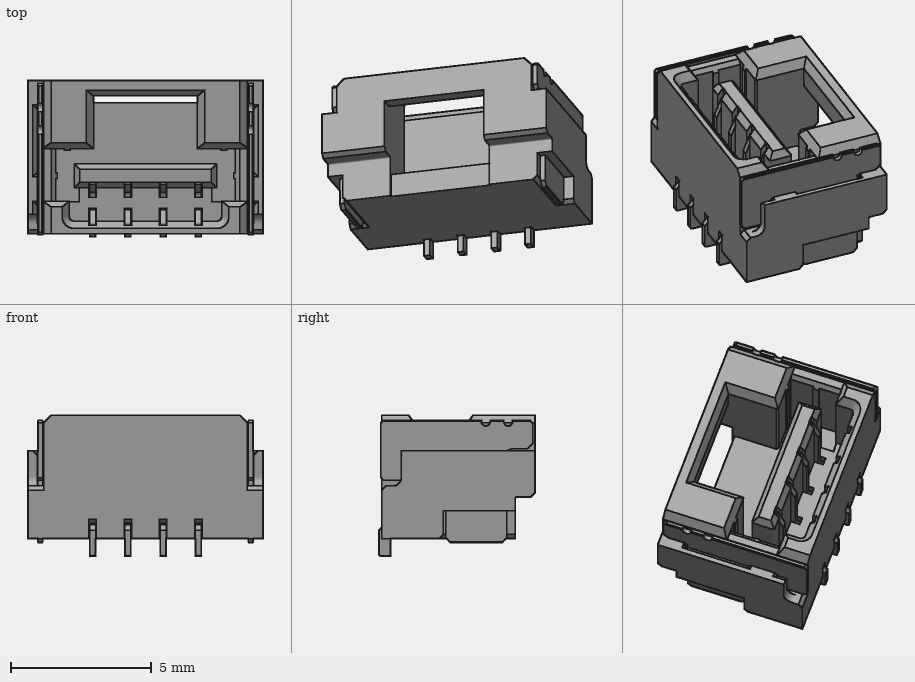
import cadquery as cq
import math

WIDTH = 8.35
DEPTH = 5.45
HEIGHT = 4.38
WING_TOP = 3.12
BLOCK_HALF = 3.62
TOP_BEVEL = 0.27

STEP_Y = 4.75
STEP_Z = 1.48
STEP_BEVEL = 0.15
STEP_FILLET = 0.05

LEAD_IN = 0.3
LEAD_Y = 0.21
LEAD_X = 0.26
RIM_Z = HEIGHT - LEAD_IN
CAVITY_HALF = 3.19
CAVITY_FRONT = 1.17
CAVITY_BACK = 3.03
WALL_BEVEL = 0.15
FLOOR_Z = 0.835
POCKET_HALF = 2.705
POCKET_FRONT = 0.46
POCKET_RADIUS = 0.16
WINDOW_HALF = 1.845
WINDOW_BACK = 4.9
WINDOW_BEVEL = 0.07
FLOOR_BACK = 4.67
BRIDGE_BOTTOM = 3.35
PLATFORM_RISE = 0.17
PLATFORM_HALF = 2.355
PLATFORM_EDGE = 1.135

RIB_WIDTH = 0.22
RIB_HEIGHT = 0.06
BACK_RIB_X = 2.78
SIDE_RIB_Y = 2.06

TONGUE_TOP = 3.98
TONGUE_HALF = 2.53
TONGUE_FRONT = 1.64
TONGUE_BACK = 2.49
TONGUE_ROUND = 0.05
TONGUE_BEVEL = 0.19
TONGUE_BEVEL_Z = 0.25

CONTACT_COUNT = 4
CONTACT_PITCH = 1.25
CONTACT_WIDTH = 0.22
GROOVE_WIDTH = 0.27
LEAD_BOTTOM = -0.62
LEAD_FRONT = -0.1
LEAD_BACK = 0.32
LEAD_ROUND = 0.075
LEAD_SHOULDER = 0.29
LEAD_ELBOW_Y = 0.1
EXIT_TOP = 0.685
EXIT_INNER = 0.55
GROOVE_BOTTOM = 0.67
FRONT_SLOT = (0.31, 0.91)
GROOVE = (1.3, 1.845)
RAMP_GAP = 0.06
RAMP_CREST = 0.13
BEAM_TOP = 3.56
BEAM_TIP_Y = 1.77
BEAM_TIP_Z = 3.62
BEAM_FRONT = 1.49
BEAM_KNEE_Z = 2.96
BEAM_FOOT_RADIUS = 0.15

PLATE_INNER = 3.65
PLATE_OUTER = 3.825
SLOT_OUTER = 3.85
SLOT_BACK = 4.61
SLOT_FLOOR = 1.87
SLOT_BEVEL = 0.15
MOUTH_RANGES = ((0.5, 1.17), (2.03, 4.59))
NOTCH_BACK = 0.7
NOTCH_RADIUS = 0.32
NOTCH_BEVEL = 0.15
PLATE_TOP = 4.21
PLATE_FRONT = -0.03
PLATE_BACK = 5.36
PLATE_BOTTOM = 2.07
PLATE_BEVEL = 0.1
PLATE_EDGE = 0.03
TAIL_BOTTOM = 3.19
TAIL_BEVEL = 0.18
TAB_FRONT = 2.27
TAB_BACK = 4.45
TAB_BOTTOM = -0.15
TAB_BEVEL = 0.18
RELIEF_FRONT = 2.2
RELIEF_TOP = 0.99
RELIEF_BEVEL = 0.15
DIMPLE_YS = (3.7, 4.49)
DIMPLE_RADIUS = 0.15
DIMPLE_BOTTOM = 4.0

MARGIN = 0.42


def box(x_range, y_range, z_range):
    size = [high - low for low, high in (x_range, y_range, z_range)]
    corner = (x_range[0], y_range[0], z_range[0])
    return cq.Workplane("XY").box(*size, centered=False).translate(corner)


def frustum(low_x, low_y, low_z, top_x, top_y, top_z):
    """Solid with flat sides between a rectangle at low_z and another at top_z."""

    def rectangle(x_range, y_range, z):
        (x0, x1), (y0, y1) = x_range, y_range
        corners = [cq.Vector(x, y, z) for x, y in ((x0, y0), (x1, y0), (x1, y1), (x0, y1))]
        return cq.Wire.makePolygon(corners, close=True)

    ends = [rectangle(low_x, low_y, low_z), rectangle(top_x, top_y, top_z)]
    return cq.Workplane(cq.Solid.makeLoft(ends, True))


def side_sketch(x_start):
    """Workplane whose local axes are the part's Y and Z, extruding toward +X."""
    return cq.Workplane("YZ", origin=(x_start, 0, 0))


def both_sides(shape):
    return shape.union(shape.mirror("YZ"))


def make_shell():
    front_outline = [
        (-WIDTH / 2, 0), (WIDTH / 2, 0), (WIDTH / 2, WING_TOP), (BLOCK_HALF, WING_TOP),
        (BLOCK_HALF, HEIGHT - TOP_BEVEL), (BLOCK_HALF - TOP_BEVEL, HEIGHT),
        (TOP_BEVEL - BLOCK_HALF, HEIGHT), (-BLOCK_HALF, HEIGHT - TOP_BEVEL),
        (-BLOCK_HALF, WING_TOP), (-WIDTH / 2, WING_TOP),
    ]
    shell = cq.Workplane("XZ").polyline(front_outline).close().extrude(-DEPTH)
    step = (
        side_sketch(-WIDTH / 2)
        .moveTo(STEP_Y, -MARGIN)
        .lineTo(STEP_Y, STEP_Z - STEP_FILLET)
        .radiusArc((STEP_Y + STEP_FILLET, STEP_Z), STEP_FILLET)
        .lineTo(DEPTH - STEP_BEVEL, STEP_Z)
        .lineTo(DEPTH + MARGIN, STEP_Z + STEP_BEVEL + MARGIN)
        .lineTo(DEPTH + MARGIN, -MARGIN)
        .close()
        .extrude(WIDTH)
    )
    return shell.cut(step)


def pocket_wire(half, front, radius, z):
    """Pocket outline at height z, rounded at its two front corners."""
    mid = radius * (1 - math.sqrt(0.5))
    return (
        cq.Workplane("XY", origin=(0, 0, z))
        .moveTo(-half, CAVITY_BACK)
        .lineTo(-half, front + radius)
        .threePointArc((mid - half, front + mid), (radius - half, front))
        .lineTo(half - radius, front)
        .threePointArc((half - mid, front + mid), (half, front + radius))
        .lineTo(half, CAVITY_BACK)
        .close()
        .val()
    )


def cut_cavity(body):
    main = box((-CAVITY_HALF, CAVITY_HALF), (CAVITY_FRONT, CAVITY_BACK), (FLOOR_Z, HEIGHT))
    wall_top = CAVITY_HALF + WALL_BEVEL
    wall_mouth = frustum(
        (-CAVITY_HALF, CAVITY_HALF), (CAVITY_FRONT, CAVITY_BACK), RIM_Z - WALL_BEVEL,
        (-wall_top, wall_top), (CAVITY_FRONT, CAVITY_BACK), RIM_Z,
    )
    gap = frustum(
        (-WIDTH / 2, WIDTH / 2), (CAVITY_FRONT, CAVITY_BACK), RIM_Z,
        (-WIDTH / 2, WIDTH / 2), (CAVITY_FRONT - LEAD_Y, CAVITY_BACK + LEAD_Y), HEIGHT,
    )
    low_pocket = pocket_wire(POCKET_HALF, POCKET_FRONT, POCKET_RADIUS, RIM_Z)
    top_pocket = pocket_wire(
        POCKET_HALF + LEAD_X, POCKET_FRONT - LEAD_X, POCKET_RADIUS + LEAD_X, HEIGHT
    )
    pocket_mouth = cq.Workplane(cq.Solid.makeLoft([low_pocket, top_pocket], True))
    floor_wire = pocket_wire(POCKET_HALF, POCKET_FRONT, POCKET_RADIUS, FLOOR_Z)
    pocket = cq.Workplane(floor_wire).toPending().extrude(RIM_Z - FLOOR_Z)

    window_x = (-WINDOW_HALF, WINDOW_HALF)
    window_top_x = (-WINDOW_HALF - LEAD_X, WINDOW_HALF + LEAD_X)
    window = box(window_x, (CAVITY_BACK, WINDOW_BACK), (FLOOR_Z, RIM_Z))
    window_mouth = frustum(
        window_x, (CAVITY_BACK, WINDOW_BACK), RIM_Z,
        window_top_x, (CAVITY_BACK, WINDOW_BACK + LEAD_Y), HEIGHT,
    )
    post_edge = [
        (WINDOW_HALF, CAVITY_BACK), (WINDOW_HALF + WINDOW_BEVEL, CAVITY_BACK),
        (WINDOW_HALF, CAVITY_BACK + WINDOW_BEVEL),
    ]
    post_bevel = cq.Workplane("XY", origin=(0, 0, FLOOR_Z)).polyline(post_edge).close()
    post_bevels = both_sides(post_bevel.extrude(RIM_Z - FLOOR_Z))
    rear_opening = box(window_x, (FLOOR_BACK, DEPTH + MARGIN), (-MARGIN, BRIDGE_BOTTOM))
    walls = (main, pocket, window, post_bevels, rear_opening)
    mouths = (wall_mouth, gap, pocket_mouth, window_mouth)
    for cutter in walls + mouths:
        body = body.cut(cutter)
    return body


def make_platform():
    top = FLOOR_Z + PLATFORM_RISE
    front = box((-POCKET_HALF, POCKET_HALF), (POCKET_FRONT, PLATFORM_EDGE), (0, top))
    rear = box((-PLATFORM_HALF, PLATFORM_HALF), (PLATFORM_EDGE, TONGUE_FRONT), (0, top))
    return front.union(rear)


def make_tongue():
    x_range = (-TONGUE_HALF, TONGUE_HALF)
    y_range = (TONGUE_FRONT, TONGUE_BACK)
    shoulder = TONGUE_TOP - TONGUE_BEVEL_Z
    post = box(x_range, y_range, (0, shoulder))
    crown = frustum(
        x_range, y_range, shoulder,
        (TONGUE_BEVEL - TONGUE_HALF, TONGUE_HALF - TONGUE_BEVEL),
        (TONGUE_FRONT + TONGUE_BEVEL, TONGUE_BACK - TONGUE_BEVEL), TONGUE_TOP,
    )
    height = (0, TONGUE_TOP)
    rounded = box(x_range, y_range, height).edges("|Z").fillet(TONGUE_ROUND)
    return post.union(crown).intersect(rounded)


def make_ribs():
    """Ribs whose tops slope in line with the bevels above them."""
    back_drop = RIB_HEIGHT * LEAD_IN / LEAD_Y
    back_outline = [
        (CAVITY_BACK, FLOOR_Z), (CAVITY_BACK - RIB_HEIGHT, FLOOR_Z),
        (CAVITY_BACK - RIB_HEIGHT, RIM_Z - back_drop), (CAVITY_BACK, RIM_Z),
    ]
    back_plane = side_sketch(BACK_RIB_X - RIB_WIDTH / 2)
    back_rib = back_plane.polyline(back_outline).close().extrude(RIB_WIDTH)
    side_top = RIM_Z - WALL_BEVEL
    side_outline = [
        (CAVITY_HALF, FLOOR_Z), (CAVITY_HALF - RIB_HEIGHT, FLOOR_Z),
        (CAVITY_HALF - RIB_HEIGHT, side_top - RIB_HEIGHT), (CAVITY_HALF, side_top),
    ]
    side_plane = cq.Workplane("XZ", origin=(0, SIDE_RIB_Y - RIB_WIDTH / 2, 0))
    side_rib = side_plane.polyline(side_outline).close().extrude(-RIB_WIDTH)
    return both_sides(back_rib.union(side_rib))


def make_contact_slots(x):
    """Opening in the front face, slot behind the front wall and groove in the tongue."""
    x_range = (x - GROOVE_WIDTH / 2, x + GROOVE_WIDTH / 2)
    exit_outline = [
        (-MARGIN, -MARGIN), (-MARGIN, EXIT_TOP), (0, EXIT_TOP),
        (LEAD_BACK, EXIT_INNER), (LEAD_BACK, -MARGIN),
    ]
    exit_slot = side_sketch(x_range[0]).polyline(exit_outline).close().extrude(GROOVE_WIDTH)
    slot = box(x_range, FRONT_SLOT, (GROOVE_BOTTOM, HEIGHT))
    groove = box(x_range, GROOVE, (GROOVE_BOTTOM, HEIGHT))
    return exit_slot.union(slot).union(groove)


def make_contact(x):
    """Solder lead, ramp behind the front wall and sloping beam against the tongue."""
    plane = side_sketch(x - CONTACT_WIDTH / 2)
    lead = (
        plane.moveTo(LEAD_BACK, LEAD_BOTTOM)
        .lineTo(LEAD_FRONT + LEAD_ROUND, LEAD_BOTTOM)
        .radiusArc((LEAD_FRONT, LEAD_BOTTOM + LEAD_ROUND), LEAD_ROUND)
        .lineTo(LEAD_FRONT, LEAD_SHOULDER)
        .lineTo(LEAD_ELBOW_Y, LEAD_SHOULDER + LEAD_ELBOW_Y - LEAD_FRONT)
        .lineTo(LEAD_BACK, EXIT_INNER)
        .close()
        .extrude(CONTACT_WIDTH)
    )
    ramp_front = FRONT_SLOT[0]
    ramp_back = FRONT_SLOT[1] - RAMP_GAP
    crest_y = ramp_front + RAMP_CREST
    crest_z = GROOVE_BOTTOM + ramp_back - crest_y
    ramp = (
        plane.moveTo(ramp_front, GROOVE_BOTTOM)
        .lineTo(ramp_back, GROOVE_BOTTOM)
        .lineTo(crest_y, crest_z)
        .tangentArcPoint((ramp_front, crest_z), relative=False)
        .close()
        .extrude(CONTACT_WIDTH)
    )
    beam = (
        plane.moveTo(GROOVE[1], GROOVE_BOTTOM)
        .lineTo(GROOVE[1], BEAM_TOP)
        .lineTo(BEAM_TIP_Y, BEAM_TIP_Z)
        .lineTo(BEAM_FRONT, BEAM_KNEE_Z)
        .lineTo(BEAM_FRONT, GROOVE_BOTTOM + BEAM_FOOT_RADIUS)
        .radiusArc((BEAM_FRONT - BEAM_FOOT_RADIUS, GROOVE_BOTTOM), BEAM_FOOT_RADIUS)
        .close()
        .extrude(CONTACT_WIDTH)
    )
    return lead.union(ramp).union(beam)


def make_wing_cutter():
    """Everything removed from the +X wing: plate slot, slot mouths, front notch and tab relief."""
    edge = WIDTH / 2 + MARGIN
    cutter = box((BLOCK_HALF, SLOT_OUTER), (0, SLOT_BACK), (SLOT_FLOOR, WING_TOP))
    for front, back in MOUTH_RANGES:
        mouth = frustum(
            (BLOCK_HALF, SLOT_OUTER), (front + SLOT_BEVEL, back - SLOT_BEVEL), WING_TOP - SLOT_BEVEL,
            (BLOCK_HALF, SLOT_OUTER + SLOT_BEVEL), (front, back), WING_TOP,
        )
        cutter = cutter.union(mouth)
    notch = (
        side_sketch(BLOCK_HALF)
        .moveTo(-MARGIN, WING_TOP)
        .lineTo(NOTCH_BACK, WING_TOP)
        .lineTo(NOTCH_BACK, SLOT_FLOOR + NOTCH_RADIUS)
        .radiusArc((NOTCH_BACK - NOTCH_RADIUS, SLOT_FLOOR), NOTCH_RADIUS)
        .lineTo(NOTCH_BEVEL, SLOT_FLOOR)
        .lineTo(-MARGIN, SLOT_FLOOR - NOTCH_BEVEL - MARGIN)
        .close()
        .extrude(edge - BLOCK_HALF)
    )
    relief = box((BLOCK_HALF, edge), (RELIEF_FRONT, DEPTH), (-MARGIN, RELIEF_TOP))
    relief_mouth = frustum(
        (BLOCK_HALF - RELIEF_BEVEL, edge), (RELIEF_FRONT - RELIEF_BEVEL, DEPTH), 0,
        (BLOCK_HALF, edge), (RELIEF_FRONT, DEPTH), RELIEF_BEVEL,
    )
    return cutter.union(notch).union(relief).union(relief_mouth)


def make_plate():
    """Retention plate on the +X side, its tab reaching just below the housing."""
    outline = [
        (PLATE_FRONT + PLATE_BEVEL, PLATE_TOP), (PLATE_FRONT, PLATE_TOP - PLATE_BEVEL),
        (PLATE_FRONT, PLATE_BOTTOM + PLATE_BEVEL), (PLATE_FRONT + PLATE_BEVEL, PLATE_BOTTOM),
        (TAB_FRONT, PLATE_BOTTOM), (TAB_FRONT, TAB_BOTTOM + TAB_BEVEL),
        (TAB_FRONT + TAB_BEVEL, TAB_BOTTOM), (TAB_BACK - TAB_BEVEL, TAB_BOTTOM),
        (TAB_BACK, TAB_BOTTOM + TAB_BEVEL), (TAB_BACK, WING_TOP),
        (SLOT_BACK, TAIL_BOTTOM), (PLATE_BACK - TAIL_BEVEL, TAIL_BOTTOM),
        (PLATE_BACK, TAIL_BOTTOM + TAIL_BEVEL), (PLATE_BACK, PLATE_TOP - PLATE_BEVEL),
        (PLATE_BACK - PLATE_BEVEL, PLATE_TOP),
    ]
    plate = side_sketch(PLATE_INNER).polyline(outline).close().extrude(PLATE_OUTER - PLATE_INNER)
    plate = plate.faces(">Z or <Z").edges("|Y").chamfer(PLATE_EDGE)
    dimple_z = DIMPLE_BOTTOM + DIMPLE_RADIUS
    for y in DIMPLE_YS:
        round_end = side_sketch(PLATE_INNER).center(y, dimple_z).circle(DIMPLE_RADIUS).extrude(MARGIN)
        throat = box(
            (PLATE_INNER, PLATE_INNER + MARGIN), (y - DIMPLE_RADIUS, y + DIMPLE_RADIUS),
            (dimple_z, PLATE_TOP),
        )
        plate = plate.cut(round_end).cut(throat)
    return plate


body = cut_cavity(make_shell())
body = body.union(make_platform()).union(make_tongue()).union(make_ribs())
body = body.cut(both_sides(make_wing_cutter())).union(both_sides(make_plate()))

for index in range(CONTACT_COUNT):
    contact_x = (index - (CONTACT_COUNT - 1) / 2) * CONTACT_PITCH
    body = body.cut(make_contact_slots(contact_x)).union(make_contact(contact_x))

result = body